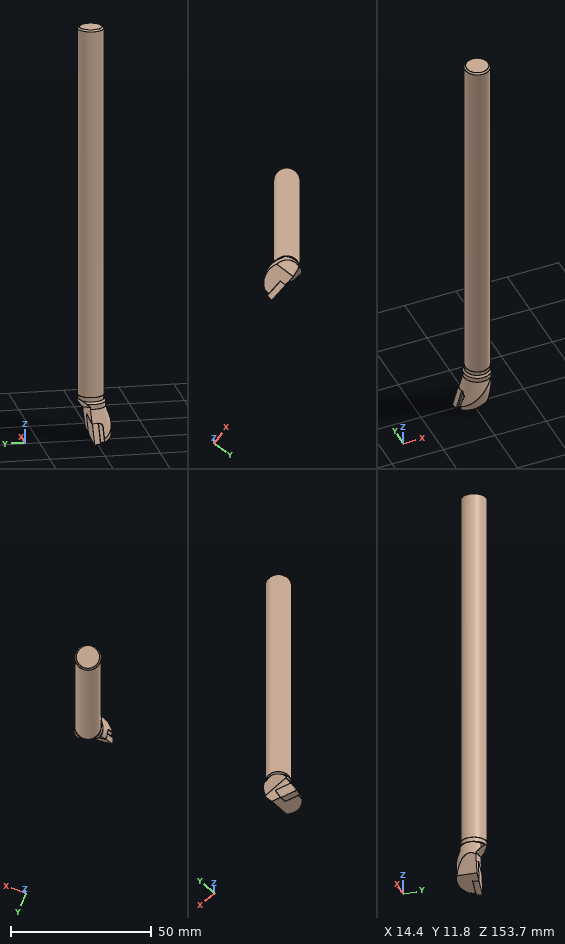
import cadquery as cq
import math

overall_length = 153.65

shank_diameter = 9.51
shank_chamfer = 0.6
neck_diameter = 9.36
neck_top_z = 16.5

collar_radius = 5.35
cone_top_z = 14.9
collar_top_z = 14.1
flare_top_z = 12.3
flare_angle = 19
clearance_radius = 7.0
clearance_center_x = -2.16
clearance_center_y = 0.08
back_relief_top_z = 10.2
back_relief_angle = 25.5
bottom_relief_gap = 0.35

chip_face_y = 1.45
chip_slope_x = 0.115
chip_slope_z = 0.02

runout_x = -5.1
runout_y = 2.15
runout_slope_x = 0.36
runout_slope_z = 0.92

tip_x = -9.54
insert_nose_angle = 55
insert_inscribed_diameter = 6.35
insert_edge = insert_inscribed_diameter / math.sin(math.radians(insert_nose_angle))
insert_thickness = 2.38
insert_nose_radius = 0.4
insert_clearance_angle = 7
side_edge_angle = 72
end_edge_angle = side_edge_angle - insert_nose_angle

recess_inset = 1.0
recess_depth = 4.0
recess_length = 8.1
recess_corner_radius = 1.6
recess_reach = 5.0

block_size = 100


def polar(length, angle):
    """Point at the given distance and angle in degrees from the local origin."""
    radians = math.radians(angle)
    return (length * math.cos(radians), length * math.sin(radians))


def beyond_plane(point, normal):
    """A large block on the side of a plane that its normal points to."""
    plane = cq.Plane(origin=point, normal=normal)
    return cq.Workplane(plane).rect(block_size, block_size).extrude(block_size)


def make_chip_plane():
    """Chip face frame: origin at the sharp insert corner, X right, Y up, normal into the insert."""
    half_angle = insert_nose_angle / 2
    center_distance = insert_nose_radius / math.sin(math.radians(half_angle))
    nose_center_x, nose_center_z = polar(center_distance, end_edge_angle + half_angle)
    corner_x = tip_x + insert_nose_radius - nose_center_x
    corner_z = insert_nose_radius - nose_center_z
    corner_y = chip_face_y + chip_slope_x * corner_x + chip_slope_z * corner_z
    return cq.Plane(
        origin=(corner_x, corner_y, corner_z),
        xDir=(1, chip_slope_x, 0),
        normal=(chip_slope_x, -1, chip_slope_z),
    )


chip_plane = make_chip_plane()


def make_insert():
    side = polar(insert_edge, side_edge_angle)
    end = polar(insert_edge, end_edge_angle)
    far = (side[0] + end[0], side[1] + end[1])
    rhombus = cq.Workplane(chip_plane).polyline([(0, 0), end, far, side]).close().val()
    outline = rhombus.fillet2D(insert_nose_radius, rhombus.Vertices())
    blank = cq.Workplane(chip_plane).add(outline).toPending()
    return blank.extrude(insert_thickness, taper=insert_clearance_angle)


def make_shank():
    shank = (
        cq.Workplane("XY").workplane(offset=neck_top_z)
        .circle(shank_diameter / 2).extrude(overall_length - neck_top_z)
        .faces(">Z").chamfer(shank_chamfer)
    )
    neck = (
        cq.Workplane("XY").workplane(offset=flare_top_z)
        .circle(neck_diameter / 2).extrude(neck_top_z - flare_top_z)
    )
    return shank.union(neck)


def make_head_blank():
    """Flared solid of revolution, limited to the bore clearance cylinder."""
    bottom_radius = collar_radius + flare_top_z * math.tan(math.radians(flare_angle))
    flared = (
        cq.Workplane("XZ")
        .polyline([
            (0, 0),
            (bottom_radius, 0),
            (collar_radius, flare_top_z),
            (collar_radius, collar_top_z),
            (neck_diameter / 2, cone_top_z),
            (0, cone_top_z),
        ])
        .close().revolve(360, (0, 0), (0, 1))
    )
    clearance = (
        cq.Workplane("XY").center(clearance_center_x, clearance_center_y)
        .circle(clearance_radius).extrude(cone_top_z)
    )
    return flared.intersect(clearance)


def back_relief():
    """Slanted cut on the +X side of the head."""
    normal_x, drop = polar(1, back_relief_angle)
    return beyond_plane((shank_diameter / 2, 0, back_relief_top_z), (normal_x, 0, -drop))


def bottom_relief():
    """Cut under the head, parallel to the insert's end edge and just above it."""
    corner = chip_plane.origin
    normal_z, normal_x = polar(1, end_edge_angle)
    return beyond_plane((corner.x, corner.y, corner.z + bottom_relief_gap), (normal_x, 0, -normal_z))


def chip_clearance():
    """Space above the chip face, ending in the sloped run-out."""
    above_face = beyond_plane(chip_plane.origin.toTuple(), (-chip_slope_x, 1, -chip_slope_z))
    runout = beyond_plane((runout_x, runout_y, collar_top_z), (-runout_slope_x, 1, -runout_slope_z))
    return above_face.intersect(runout)


def flank_recess():
    """Round-cornered block outside the insert's side edge, its floor parallel to that edge."""
    along_x, along_y = polar(1, side_edge_angle)
    outward = chip_plane.yDir * along_x - chip_plane.xDir * along_y
    frame = cq.Plane(origin=chip_plane.origin, xDir=chip_plane.zDir, normal=outward)
    block = (
        cq.Workplane(frame).workplane(offset=-recess_inset)
        .rect(2 * recess_depth, 2 * recess_length).extrude(recess_reach)
    )
    return block.edges(cq.selectors.ParallelDirSelector(outward)).fillet(recess_corner_radius)


insert = make_insert()

holder = make_shank().union(make_head_blank())
for cutter in (back_relief(), bottom_relief(), chip_clearance(), flank_recess(), insert):
    holder = holder.cut(cutter)

result = cq.Compound.makeCompound([holder.val(), insert.val()])